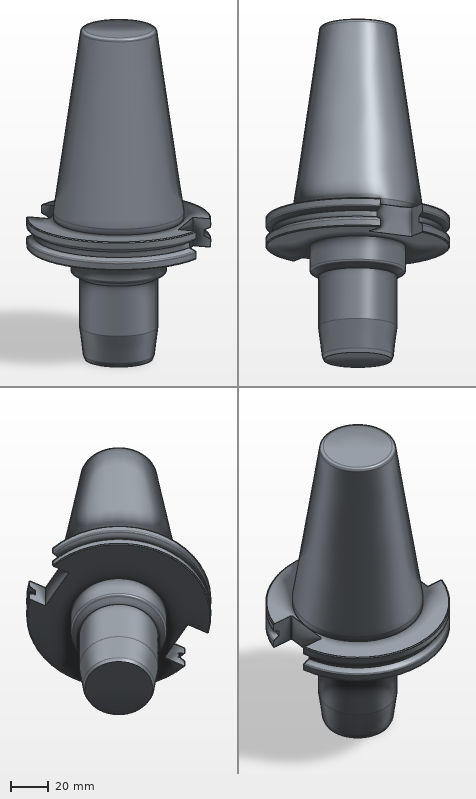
import cadquery as cq
import math

total_height = 182.6
tip_top_z = 2.2
nose_top_z = 17.9
shank_top_z = 45.6
flange_bottom_z = 62.0
flange_top_z = 77.8
gauge_z = 81.0

tip_radius = 18.0
nose_radius = 19.0
shank_radius = 42.0 / 2
collar_radius = 25.5
flange_radius = 98.5 / 2
gauge_radius = 70.0 / 2
taper_slope = 7 / 48
taper_top_radius = gauge_radius - taper_slope * (total_height - gauge_z)
top_round = 2.0
flange_edge_chamfer = 0.5

collar_cone_angle = math.radians(30)
collar_corner_z = shank_top_z + (collar_radius - shank_radius) * math.tan(collar_cone_angle)
collar_round = 1.8

groove_radius = 45.6
groove_low_z = 66.5
groove_floor_low_z = 68.3
groove_floor_high_z = 71.4
groove_high_z = 73.2
groove_lip_round = 1.1

slot_width = 25.7
left_slot_x = -35.0
right_slot_x = 37.6
slot_corner_radius = 1.0


def round_rim(body, radius, level, round_radius):
    """Fillet the circular edge of the given radius at the given height."""
    margin = 0.02
    corner = (radius + margin, radius + margin, level + margin)
    opposite = (-radius - margin, -radius - margin, level - margin)
    rim = body.edges(cq.selectors.BoxSelector(corner, opposite, boundingbox=True))
    return rim.fillet(round_radius)


def turned_body():
    """Revolved holder: nose, shank, collar, flange and taper."""
    profile = (
        cq.Workplane("XZ")
        .lineTo(tip_radius, 0)
        .lineTo(nose_radius, tip_top_z)
        .lineTo(shank_radius, nose_top_z)
        .lineTo(shank_radius, shank_top_z)
        .lineTo(collar_radius, collar_corner_z)
        .lineTo(collar_radius, flange_bottom_z)
        .lineTo(flange_radius - flange_edge_chamfer, flange_bottom_z)
        .lineTo(flange_radius, flange_bottom_z + flange_edge_chamfer)
        .lineTo(flange_radius, groove_low_z)
        .lineTo(groove_radius, groove_floor_low_z)
        .lineTo(groove_radius, groove_floor_high_z)
        .lineTo(flange_radius, groove_high_z)
        .lineTo(flange_radius, flange_top_z - flange_edge_chamfer)
        .lineTo(flange_radius - flange_edge_chamfer, flange_top_z)
        .lineTo(gauge_radius, flange_top_z)
        .lineTo(gauge_radius, gauge_z)
        .lineTo(taper_top_radius, total_height)
        .lineTo(0, total_height)
        .close()
    )
    body = profile.revolve(360, (0, 0, 0), (0, 1, 0))
    body = body.faces(">Z").edges().fillet(top_round)
    body = round_rim(body, collar_radius, collar_corner_z, collar_round)
    for lip_z in (groove_low_z, groove_high_z):
        body = round_rim(body, flange_radius, lip_z, groove_lip_round)
    return body



def drive_slot(floor_x):
    """Cutter reaching from the slot floor outward past the flange rim."""
    outer_x = flange_radius if floor_x > 0 else -flange_radius
    return (
        cq.Workplane("XY", origin=((floor_x + outer_x) / 2, 0, flange_bottom_z))
        .rect(abs(outer_x - floor_x), slot_width)
        .extrude(flange_top_z - flange_bottom_z)
    )


left_slot = drive_slot(left_slot_x).edges("|Z and >X").fillet(slot_corner_radius)
right_slot = drive_slot(right_slot_x)
result = turned_body().cut(left_slot).cut(right_slot)